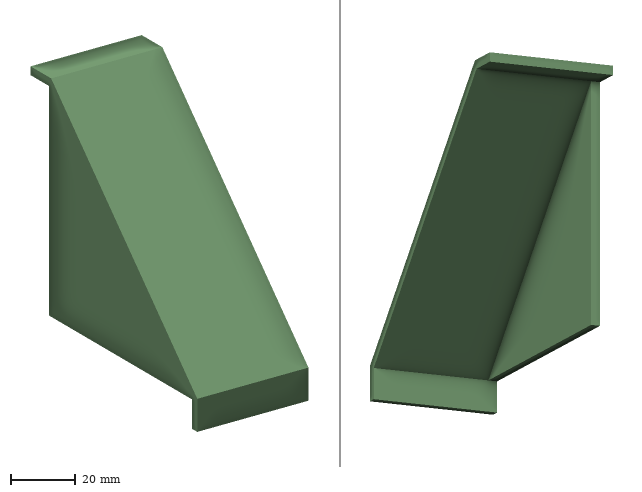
import cadquery as cq
import math

SPAN = 91.0
WIDTH = 42.0
THICKNESS = 3.0
FLANGE_LENGTH = 10.0
BEND_ANGLE = 45.0

INNER_FACE = SPAN - THICKNESS
OUTER_BEND = FLANGE_LENGTH + THICKNESS * math.tan(math.radians(BEND_ANGLE / 2))


def extrude_along_y(points, depth):
    """Extrude an XZ outline from Y = 0 towards +Y."""
    return cq.Workplane("XZ").polyline(points).close().extrude(-depth)


def make_bent_plate():
    """Sloping plate with a horizontal flange at the top and a vertical one at the bottom."""
    outline = [
        (0, SPAN),
        (OUTER_BEND, SPAN),
        (SPAN, OUTER_BEND),
        (SPAN, 0),
        (INNER_FACE, 0),
        (INNER_FACE, FLANGE_LENGTH),
        (FLANGE_LENGTH, INNER_FACE),
        (0, INNER_FACE),
    ]
    return extrude_along_y(outline, WIDTH)


def make_side_web():
    """Triangular web that closes the -Y side below the sloping plate."""
    outline = [
        (FLANGE_LENGTH, FLANGE_LENGTH),
        (INNER_FACE, FLANGE_LENGTH),
        (FLANGE_LENGTH, INNER_FACE),
    ]
    return extrude_along_y(outline, THICKNESS)


result = make_bent_plate().union(make_side_web())